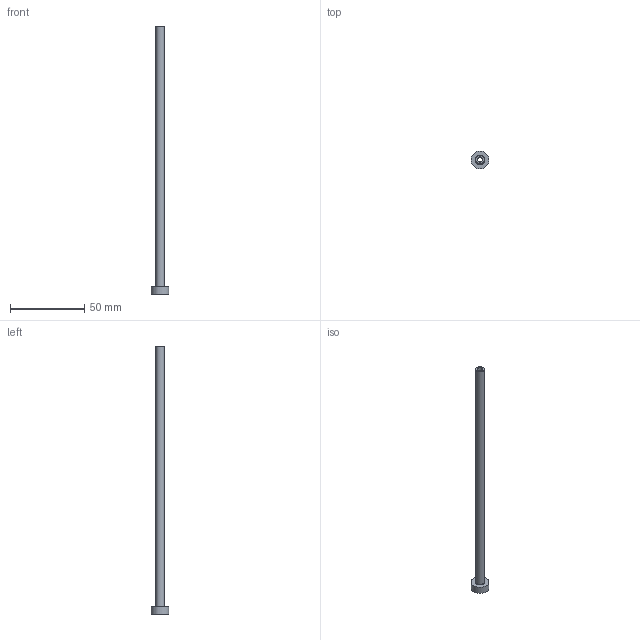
import cadquery as cq

total_length = 180.0
head_diameter = 12.0
head_height = 5.0
shaft_diameter = 6.0
bore_diameter = 3.5
neck_fillet_radius = 0.3

bore_radius = bore_diameter / 2
shaft_radius = shaft_diameter / 2
head_radius = head_diameter / 2

profile = (
    cq.Workplane("XZ")
    .moveTo(-bore_radius, 0)
    .lineTo(-head_radius, 0)
    .lineTo(-head_radius, head_height)
    .lineTo(-shaft_radius - neck_fillet_radius, head_height)
    .radiusArc((-shaft_radius, head_height + neck_fillet_radius), -neck_fillet_radius)
    .lineTo(-shaft_radius, total_length)
    .lineTo(-bore_radius, total_length)
    .close()
)

result = profile.revolve(360, (0, 0, 0), (0, 1, 0))